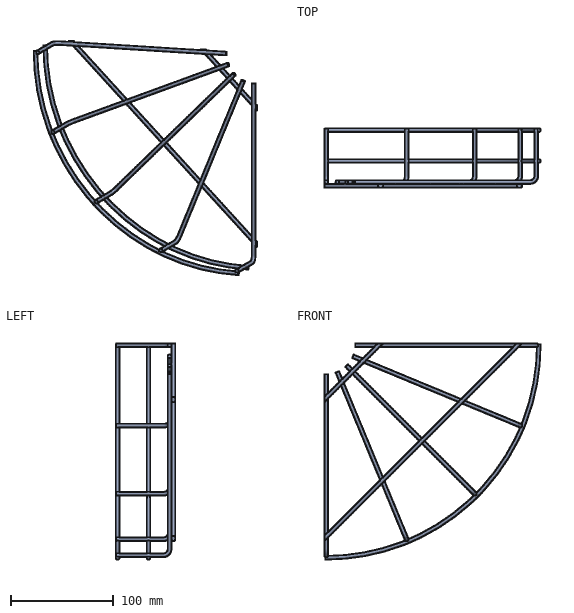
import cadquery as cq
import math

wire_diameter = 3.8
wire_radius = wire_diameter / 2

rib_count = 5
bend_angle = 90
rib_spacing = bend_angle / (rib_count - 1)
rib_inner_radius = 28.0
rib_wall_radius = 204.0
rib_bend_radius = 6.0
rib_top = 52.0

overall_width = 210.2
arc_radius = overall_width - wire_diameter
arc_overhang = 1.0
upper_arc_height = 50.5
lower_arc_height = 20.45

overall_height = 57.99
diagonal_level = upper_arc_height + wire_diameter - overall_height
diagonal_reaches = (50.9, 185.8)
diagonal_end = -wire_radius


def rib(angle):
    """L-shaped wire lying at the given angle below the +X axis."""
    bend_start = rib_wall_radius - rib_bend_radius
    path = (
        cq.Workplane("XY")
        .moveTo(rib_inner_radius, 0)
        .lineTo(bend_start, 0)
        .tangentArcPoint((rib_wall_radius, rib_bend_radius), relative=False)
        .lineTo(rib_wall_radius, rib_top)
    )
    wire = cq.Workplane("YZ", origin=(rib_inner_radius, 0, 0)).circle(wire_radius).sweep(path)
    return wire.rotate((0, 0, 0), (0, 1, 0), angle)


def wall_arc(height):
    """Curved wire around the outside of the ribs, running slightly past both end ribs."""
    overhang_angle = math.degrees(math.asin(arc_overhang / arc_radius))
    wire = (
        cq.Workplane("XY")
        .center(arc_radius, height)
        .circle(wire_radius)
        .revolve(bend_angle + 2 * overhang_angle, (-arc_radius, 0, 0), (-arc_radius, 1, 0))
    )
    return wire.rotate((0, 0, 0), (0, 1, 0), -overhang_angle)


def diagonal(reach):
    """Wire at 45 degrees between the end ribs, its ends cut flush with their outer sides."""
    sketch_plane = cq.Plane(origin=(0, diagonal_level, -reach), xDir=(0, 1, 0), normal=(1, 0, 1))
    end_overrun = wire_diameter * 2
    wire = (
        cq.Workplane(sketch_plane)
        .workplane(offset=-end_overrun)
        .circle(wire_radius)
        .extrude(reach * math.sqrt(2) + 2 * end_overrun)
    )
    trim_side = overall_width
    trim = (
        cq.Workplane("XY")
        .box(trim_side, wire_diameter * 2, trim_side, centered=(False, True, False))
        .translate((diagonal_end, diagonal_level, -diagonal_end - trim_side))
    )
    return wire.intersect(trim)


result = rib(0)
for number in range(1, rib_count):
    result = result.union(rib(number * rib_spacing))
for height in (upper_arc_height, lower_arc_height):
    result = result.union(wall_arc(height))
for reach in diagonal_reaches:
    result = result.union(diagonal(reach))